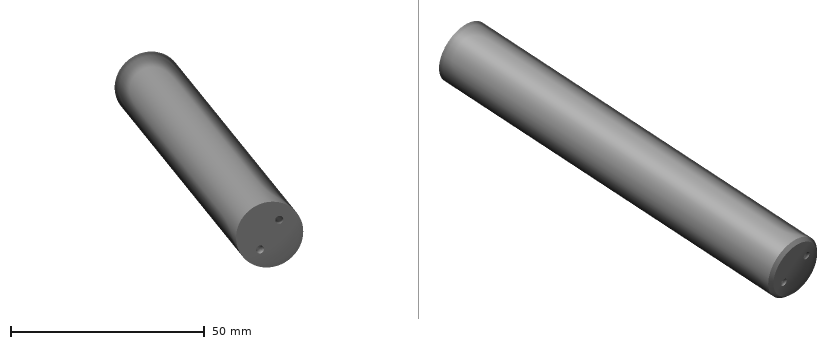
import cadquery as cq
import math

length = 120.0
diameter = 18.0
end_chamfer = 1.0

duct_diameter = 2.2
duct_spacing = 9.2
duct_start_angle = 25.0
helix_angle = 30.0
helix_pitch = math.pi * diameter / math.tan(math.radians(helix_angle))
duct_twist = 360.0 * length / helix_pitch


def make_rod():
    """Plain rod, chamfered at its -X end only."""
    rod = cq.Workplane("YZ").circle(diameter / 2).extrude(length / 2, both=True)
    return rod.faces("<X").edges().chamfer(end_chamfer)


def make_duct(start_angle):
    """Right-handed helical duct, round in cross-section, from the -X face to the +X face."""
    angle = math.radians(start_angle)
    radius = duct_spacing / 2
    return (
        cq.Workplane("YZ", origin=(-length / 2, 0, 0))
        .center(radius * math.cos(angle), radius * math.sin(angle))
        .circle(duct_diameter / 2)
        .center(-radius * math.cos(angle), -radius * math.sin(angle))
        .twistExtrude(length, duct_twist)
    )


result = make_rod()
for half_turn in (0, 180):
    result = result.cut(make_duct(half_turn - duct_start_angle))